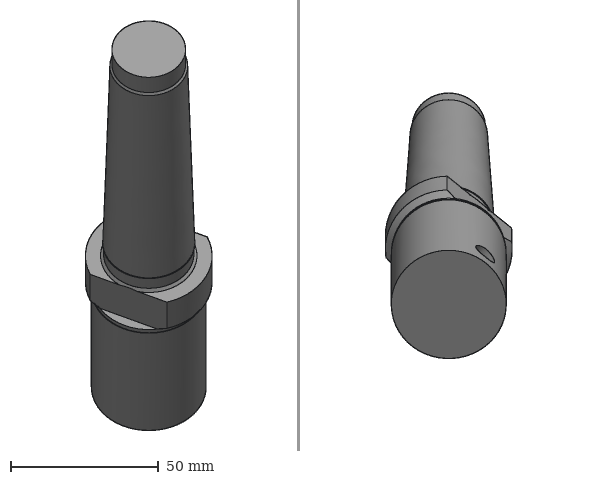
import cadquery as cq

total_length = 177.8
shank_length = 102.3
gauge_diameter = 31.267
taper_ratio = 1 / 19.254
pilot_diameter = 25.0
pilot_length = 8.0
pilot_step_height = 0.8

neck_diameter = 30.67
neck_length = 6.5
neck_chamfer = 1.0

body_diameter = 39.0
relief_diameter = 38.6
relief_height = 1.7

flange_diameter = 43.0
across_flats = 32.0
flange_height = 16.0
flange_chamfer = (flange_diameter - relief_diameter) / 2

screw_hole_diameter = 8.3
screw_hole_depth = 8.5
screw_hole_z = 10.0

gauge_z = total_length - shank_length
flange_top_z = gauge_z - neck_length
flange_bottom_z = flange_top_z - flange_height
body_top_z = flange_bottom_z - relief_height
pilot_bottom_z = total_length - pilot_length
taper_top_z = pilot_bottom_z - pilot_step_height
taper_top_diameter = gauge_diameter - taper_ratio * (taper_top_z - gauge_z)


def cylinder(diameter, bottom_z, top_z):
    return cq.Workplane("XY").workplane(offset=bottom_z).circle(diameter / 2).extrude(top_z - bottom_z)


def make_body():
    body = cylinder(body_diameter, 0, body_top_z)
    relief = cylinder(relief_diameter, body_top_z, flange_bottom_z)
    return body.union(relief)


def make_flange_and_shank():
    """Flange, neck, taper and end pilot as one turned profile, with the flats milled on the flange."""
    neck_radius = neck_diameter / 2
    chamfer_radius = neck_radius + neck_chamfer
    flange_radius = flange_diameter / 2
    profile = (
        cq.Workplane("XZ")
        .moveTo(0, flange_bottom_z)
        .lineTo(flange_radius - flange_chamfer, flange_bottom_z)
        .lineTo(flange_radius, flange_bottom_z + flange_chamfer)
        .lineTo(flange_radius, flange_top_z)
        .lineTo(chamfer_radius, flange_top_z)
        .lineTo(neck_radius, flange_top_z + neck_chamfer)
        .lineTo(neck_radius, gauge_z)
        .lineTo(gauge_diameter / 2, gauge_z)
        .lineTo(taper_top_diameter / 2, taper_top_z)
        .lineTo(pilot_diameter / 2, pilot_bottom_z)
        .lineTo(pilot_diameter / 2, total_length)
        .lineTo(0, total_length)
        .close()
    )
    turned = profile.revolve(360, (0, 0, 0), (0, 1, 0))
    flats_envelope = cq.Workplane("XY").box(
        flange_diameter, across_flats, total_length, centered=(True, True, False)
    )
    return turned.intersect(flats_envelope)


def make_screw_hole():
    """Blind hole drilled inward from the +Y side."""
    return (
        cq.Workplane("XZ", origin=(0, body_diameter / 2, screw_hole_z))
        .circle(screw_hole_diameter / 2)
        .extrude(screw_hole_depth)
    )


result = make_body().union(make_flange_and_shank()).cut(make_screw_hole())